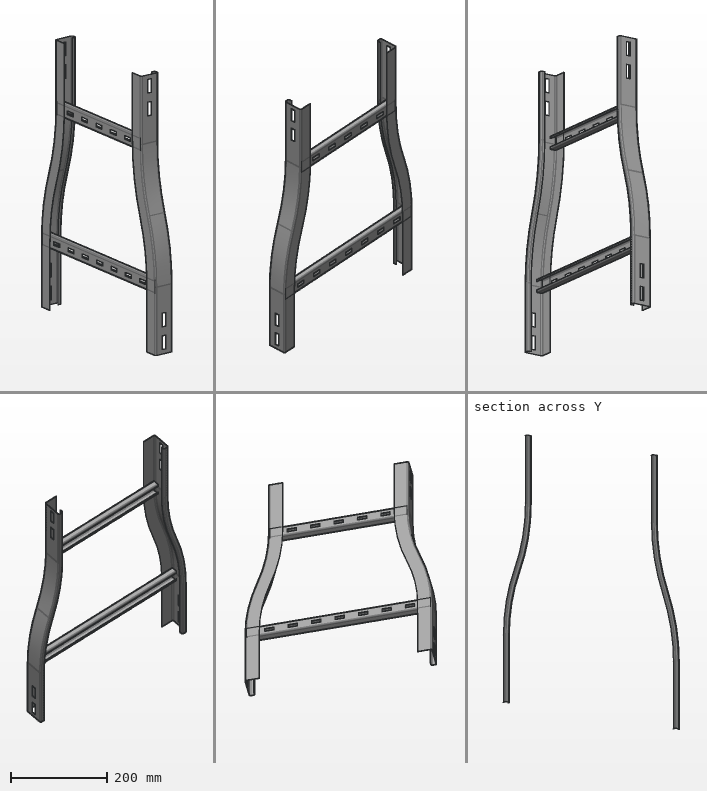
import cadquery as cq

frame_height = 600.0
frame_width = 400.0
frame_depth = 45.0
side_step = frame_height / 12
stage_height = frame_height / 4
half_width = frame_width / 2
front_y = -frame_depth / 2
back_y = frame_depth / 2

sheet = 1.5

front_flange = 31.0
back_flange = 12.5
lip_depth = 9.0
rail_bend_radius = 3.5

rung_height = 30.0
rung_depth = 15.5
rung_lip = 6.0
rung_bend_radius = 2.5
rung_end_gap = 4.0

slot_pitch = frame_height / 12
rail_slot_length = 30.0
rail_slot_width = 9.5
rail_slots_per_end = 2
rung_slot_length = 20.0
rung_slot_width = 8.0
low_rung_slots = 7
high_rung_slots = 5
low_slot_shift = 2.5


def unit_step(start, end):
    """Direction from start to end, for a step parallel to one axis."""
    dx = end[0] - start[0]
    dy = end[1] - start[1]
    length = abs(dx) + abs(dy)
    return dx / length, dy / length


def draw_side(outline, points, radius):
    """Draw line by line through the points, rounding each right-angled corner."""
    for before, corner, after in zip(points, points[1:], points[2:]):
        arrive = unit_step(before, corner)
        leave = unit_step(corner, after)
        outline = outline.lineTo(corner[0] - radius * arrive[0], corner[1] - radius * arrive[1])
        outline = outline.tangentArcPoint(
            (corner[0] + radius * leave[0], corner[1] + radius * leave[1]), relative=False
        )
    return outline.lineTo(*points[-1])


def folded_section(plane, outer, bend_radius):
    """Closed sheet section; outer lists its outside corners, all turning clockwise."""
    steps = [unit_step(start, end) for start, end in zip(outer, outer[1:])]
    inward = [(dy, -dx) for dx, dy in steps]
    inner = [(outer[0][0] + sheet * inward[0][0], outer[0][1] + sheet * inward[0][1])]
    for corner, first, second in zip(outer[1:], inward, inward[1:]):
        inner.append(
            (corner[0] + sheet * (first[0] + second[0]), corner[1] + sheet * (first[1] + second[1]))
        )
    inner.append((outer[-1][0] + sheet * inward[-1][0], outer[-1][1] + sheet * inward[-1][1]))
    inner.reverse()

    outline = draw_side(plane.moveTo(*outer[0]), outer, bend_radius)
    outline = draw_side(outline.lineTo(*inner[0]), inner, bend_radius - sheet)
    return outline.close()


def make_left_rail():
    """Channel swept up its S-shaped path, with slots through the web near both ends."""
    low_x = -half_width
    high_x = low_x + side_step

    section = folded_section(
        cq.Workplane("XY"),
        [
            (low_x + front_flange, front_y),
            (low_x, front_y),
            (low_x, back_y),
            (low_x + back_flange, back_y),
            (low_x + back_flange, back_y - lip_depth),
        ],
        rail_bend_radius,
    )
    path = (
        cq.Workplane("XZ")
        .moveTo(low_x, 0)
        .lineTo(low_x, stage_height)
        .tangentArcPoint((low_x + side_step / 2, 2 * stage_height), relative=False)
        .tangentArcPoint((high_x, 3 * stage_height), relative=False)
        .lineTo(high_x, frame_height)
    )
    rail = section.sweep(path)

    cutter = cq.Workplane("XY").box(4 * sheet, rail_slot_width, rail_slot_length)
    for index in range(rail_slots_per_end):
        end_distance = (index + 0.5) * slot_pitch
        rail = rail.cut(cutter.translate((low_x, 0, end_distance)))
        rail = rail.cut(cutter.translate((high_x, 0, frame_height - end_distance)))
    return rail


def make_rung(web_x, z, slot_count, slot_shift):
    """Lipped channel against the inside of the front flanges, reaching almost to both webs."""
    half_length = web_x - rung_end_gap
    rung_front_y = front_y + sheet
    rung_back_y = rung_front_y + rung_depth
    low_z = z - rung_height / 2
    high_z = z + rung_height / 2

    rung = folded_section(
        cq.Workplane("YZ", origin=(-half_length, 0, 0)),
        [
            (rung_back_y, low_z + rung_lip),
            (rung_back_y, low_z),
            (rung_front_y, low_z),
            (rung_front_y, high_z),
            (rung_back_y, high_z),
            (rung_back_y, high_z - rung_lip),
        ],
        rung_bend_radius,
    ).extrude(2 * half_length)

    slots = (
        cq.Workplane("XZ", origin=(slot_shift, rung_front_y + 2 * sheet, z))
        .rarray(slot_pitch, 6, slot_count, 1)
        .rect(rung_slot_length, rung_slot_width)
        .extrude(3 * sheet)
    )
    return rung.cut(slots)


left_rail = make_left_rail()
rails = [left_rail, left_rail.mirror("YZ")]

rungs = [
    make_rung(web_x, z, slot_count, slot_shift)
    for web_x, z, slot_count, slot_shift in [
        (half_width, stage_height, low_rung_slots, low_slot_shift),
        (half_width - side_step, 3 * stage_height, high_rung_slots, 0),
    ]
]

result = cq.Compound.makeCompound([body.val() for body in rails + rungs])